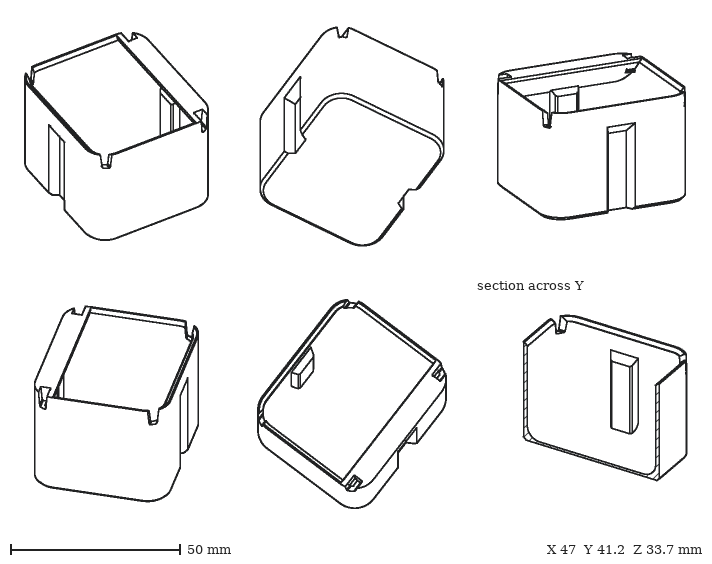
import cadquery as cq
import math

length = 47.0
width = 41.2
height = 33.7
corner_radius = 7.05
base_chamfer = 1.0

side_wall = 1.5
end_wall = 1.7
floor_thickness = 1.0
floor_fillet = 4.15
rim_land = 0.4
rim_drop = side_wall - rim_land
flare_toe = 0.005

deck_depth = 7.05
deck_slope_drop = 7.05

channel_mouth = 9.15
channel_depth = 2.8
channel_top = 27.25
channel_top_drop = 3.05
channel_flank_angle = math.radians(30)
channel_wall = 1.0
rib_edge_bevel = 0.4

notch_reach = 4.55
notch_centre = 3.8
notch_mouth = 3.0
notch_shoulder = 2.15
notch_floor = 1.65
notch_depth = 4.95
notch_bevel = 0.4


def rounded_block(x_size, y_size, radius, base, top):
    """Upright block with rounded vertical edges between two heights."""
    block = cq.Workplane("XY").workplane(offset=base).rect(x_size, y_size).extrude(top - base)
    return block.edges("|Z").fillet(radius)


def make_cavity():
    """Round-bottomed pocket that flares at the rim."""
    x_size = length - 2 * side_wall
    y_size = width - 2 * end_wall
    radius = corner_radius - end_wall
    pocket = rounded_block(x_size, y_size, radius, floor_thickness, height)
    pocket = pocket.faces("<Z").edges().fillet(floor_fillet)
    flare = rounded_block(
        length - 2 * rim_land,
        width - 2 * rim_land,
        corner_radius - rim_land,
        height - rim_drop,
        height,
    )
    flare = flare.faces("<Z").edges().chamfer(rim_drop - flare_toe)
    return pocket.union(flare)


def make_deck():
    """Solid wedge over the back of the cavity."""
    front = width / 2 - deck_depth
    back = width / 2
    lip_base = height - rim_drop
    profile = [
        (front, height),
        (back, height),
        (back, lip_base - deck_slope_drop),
        (back - end_wall, lip_base - deck_slope_drop),
        (front, lip_base),
    ]
    return cq.Workplane("YZ").polyline(profile).close().extrude(length / 2, both=True)


def channel_solid(offset, base):
    """Front channel volume, with its walls moved outward by an offset."""
    front = -width / 2
    depth = channel_depth + offset
    mouth_half = channel_mouth / 2 + offset / math.cos(channel_flank_angle)
    inner_half = mouth_half - depth * math.tan(channel_flank_angle)
    top_slope = channel_top_drop / channel_depth
    top = channel_top + offset * math.hypot(1, top_slope)
    plan = [
        (-mouth_half, front),
        (mouth_half, front),
        (inner_half, front + depth),
        (-inner_half, front + depth),
    ]
    side = [
        (front, base),
        (front, top),
        (front + depth, top - depth * top_slope),
        (front + depth, base),
    ]
    column = cq.Workplane("XY").polyline(plan).close().extrude(height)
    profile = cq.Workplane("YZ").polyline(side).close().extrude(length / 2, both=True)
    return column.intersect(profile)


def notch_pair(y_centre):
    """Tapered notches in both sides at one Y position."""
    bottom = height - notch_depth
    shoulder = bottom + notch_bevel
    profile = [
        (y_centre - notch_mouth / 2, height),
        (y_centre - notch_shoulder / 2, shoulder),
        (y_centre - notch_floor / 2, bottom),
        (y_centre + notch_floor / 2, bottom),
        (y_centre + notch_shoulder / 2, shoulder),
        (y_centre + notch_mouth / 2, height),
    ]
    left = cq.Workplane("YZ", origin=(-length / 2, 0, 0)).polyline(profile).close().extrude(notch_reach)
    return left.union(left.mirror("YZ"))


outer = rounded_block(length, width, corner_radius, 0, height)
outer = outer.faces("<Z").edges().chamfer(base_chamfer)

result = outer.cut(make_cavity())
result = result.union(make_deck().intersect(outer))

rib = channel_solid(channel_wall, base_chamfer)
rib = rib.faces(">Y").edges("|Z").chamfer(rib_edge_bevel)
channel = channel_solid(0, 0)
result = result.union(rib).union(rib.mirror("XZ"))
result = result.cut(channel).cut(channel.mirror("XZ"))

for y_sign in (-1, 1):
    result = result.cut(notch_pair(y_sign * (width / 2 - notch_centre)))